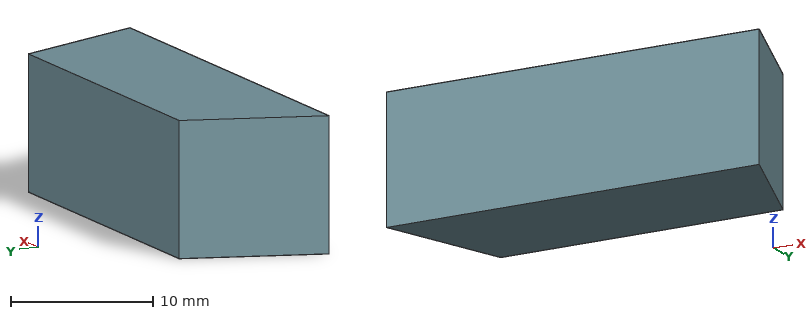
import cadquery as cq
import math

length = 30.0
depth = length / 3
height = length / 3
end_angle = 20.0

end_inset = depth * math.tan(math.radians(end_angle))
half_length = length / 2

result = (
    cq.Workplane("XY")
    .polyline([
        (-half_length, 0),
        (half_length, 0),
        (half_length - end_inset, depth),
        (-half_length + end_inset, depth),
    ])
    .close()
    .extrude(height)
)